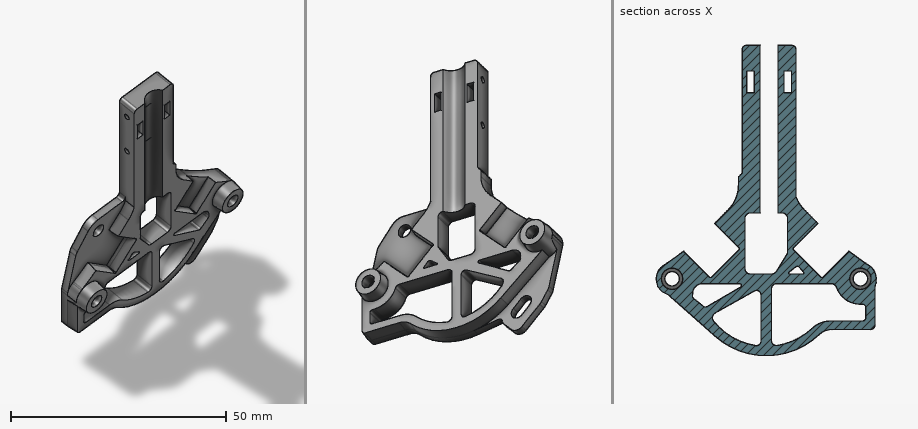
import cadquery as cq
import math


FLANGE_THICKNESS = 2.0
BODY_THICKNESS = 5.0
BOSS_TIP = 8.0
DRAFT = 7.0
DRAFT_SLOPE = math.tan(math.radians(DRAFT))

BOSS_OFFSET = 21.9
BOSS_RADIUS = 3.69
BOSS_CLEARANCE_RADIUS = 5.95
SCREW_HOLE = 3.3
COUNTERBORE = 4.9
COUNTERBORE_DEPTH = BODY_THICKNESS
HALF_WIDTH = BOSS_OFFSET + BOSS_RADIUS

ARM_TOP = 54.3
ARM_WIDTH = 12.55
ARM_CENTER = -0.66
ARM_LEFT = ARM_CENTER + ARM_WIDTH / 2
ARM_RIGHT = ARM_CENTER - ARM_WIDTH / 2
ARM_CORNER_RADIUS = 1.0
TIE_SLOT_WIDTH = 1.7
TIE_SLOT_HEIGHT = 5.0
TIE_SLOT_SPACING = 8.65
TIE_SLOT_Z = 45.8
PIN_HOLE = 1.5
PIN_HOLE_HEIGHTS = (37.5, 50.0)
GROOVE_RADIUS = 3.3
GROOVE_DEPTH = 1.7

SHOULDER_Y = 6.5
SHOULDER_TOP = 24.55
SHOULDER_CHAMFER = 0.9
NECK_RADIUS = 8.0
WING_CURVE_RADIUS = 68.0
NECK_CORNER = (SHOULDER_Y, 18.45, NECK_RADIUS)
WING_CORNER = (17.56, 7.26, WING_CURVE_RADIUS)
BOSS_CORNER = (26.04, 1.71, BOSS_RADIUS)
BOSS_TANGENT = (20.0, 5.64)
SKIRT_CORNER = (22.9, -12.4, 3.0)

RING_OUTER = 18.2
RING_INNER = 15.7
BLOCK_BOTTOM = -12.1
BLOCK_CORNER_RADIUS = 1.3
BLOCK_RING_FILLET = 4.0
BLOCK_OVERLAP = 2.0

FLANGE_TOP = 19.4
FLANGE_HOLE = (-15.57, 15.27)
FLANGE_TOP_CORNER = (-17.7, FLANGE_TOP, 4.0)
FLANGE_SIDE_CORNER = (-22.75, 12.75, 3.0)
FLANGE_BOSS_CORNER = (-HALF_WIDTH, 0.42, BOSS_RADIUS)
EAR_CORNERS = [
    (20.8, -15.86, 3.0),
    (14.31, -22.21, 2.0),
    (10.65, -18.25, 0.4),
    (10.2, -16.75, 0.7),
]
EAR_TANGENT_ANGLE = -80.4
EAR_SLOT_ANGLES = (-40.7, -48.3)

RIB_HALF_WIDTH = 1.25
BAR_BOTTOM = -1.17
BAR_TOP = 1.14
STRIP_BOTTOM = -9.8
STRIP_END = -23.1
WINDOW_TOP = 15.27
WINDOW_HALF_WIDTH = 4.93
WINDOW_RADIUS = 1.2
WINDOW_SLOPE_TOP = (-WINDOW_HALF_WIDTH, 5.93)
WINDOW_SLOPE_END = -2.0
SMALL_WINDOW_CORNERS = [(-4.8, BAR_TOP, 0.2), (-7.3, 3.1, 0.6), (-9.0, BAR_TOP, 0.2)]
LEFT_WINDOW_CORNERS = [
    (4.7, BAR_BOTTOM, 0.4),
    (16.9, BAR_BOTTOM, 2.2),
    (17.15, -4.35, 0.7),
    (14.2, -6.7, 0.7),
]
FAN_SLOPE_START = (RIB_HALF_WIDTH, -2.02)
FAN_SLOPE_END = (RING_OUTER, -11.5)
FAN_RIB_RADIUS = 1.0
FAN_TIP_RADIUS = 1.3
BEND_RADIUS = 6.0
RIB_CORNER_RADIUS = 1.1
STRIP_CORNER_RADIUS = 0.7
SELECTION_MARGIN = 1.0

POCKET_WIDTH = 9.2
POCKET_LENGTH = 14.0
POCKET_ANGLE = 45.0
POCKET_INNER_END = (9.7, 3.7)
POCKET_STRAIGHT_TOP = 2.85
RIGHT_POCKET_FLOOR = FLANGE_THICKNESS
LEFT_POCKET_FLOOR = 2.65


def plane(x=0.0):
    """Sketch plane across the thickness: local axes are Y and Z, normal is +X."""
    return cq.Workplane("YZ", origin=(x, 0, 0))


def disk(y, z, radius, thickness=BODY_THICKNESS):
    return plane().center(y, z).circle(radius).extrude(thickness)


def block(y_min, y_max, z_min, z_max, thickness=BODY_THICKNESS):
    size = (y_max - y_min, z_max - z_min)
    return plane().center((y_min + y_max) / 2, (z_min + z_max) / 2).rect(*size).extrude(thickness)


def rounded_prism(corners, thickness=BODY_THICKNESS):
    """Prism of a polygon given as (y, z, corner radius); a radius of 0 stays sharp."""
    pieces = []
    for i, (y, z, radius) in enumerate(corners):
        corner = cq.Vector(y, z)
        if radius == 0:
            pieces.append((corner,))
            continue
        before = (cq.Vector(*corners[i - 1][:2]) - corner).normalized()
        after = (cq.Vector(*corners[(i + 1) % len(corners)][:2]) - corner).normalized()
        half_angle = before.getAngle(after) / 2
        setback = radius / math.tan(half_angle)
        apex_gap = radius / math.sin(half_angle) - radius
        middle = corner + (before + after).normalized() * apex_gap
        pieces.append((corner + before * setback, middle, corner + after * setback))
    outline = plane().moveTo(pieces[0][-1].x, pieces[0][-1].y)
    for start, *arc in pieces[1:] + pieces[:1]:
        outline = outline.lineTo(start.x, start.y)
        if arc:
            outline = outline.threePointArc(*[(point.x, point.y) for point in arc])
    return outline.close().extrude(thickness)


def on_circle(radius, degrees):
    angle = math.radians(degrees)
    return (radius * math.cos(angle), radius * math.sin(angle))


def make_arm():
    return rounded_prism([
        (ARM_LEFT, 0, 0),
        (ARM_LEFT, ARM_TOP, ARM_CORNER_RADIUS),
        (ARM_RIGHT, ARM_TOP, ARM_CORNER_RADIUS),
        (ARM_RIGHT, 0, 0),
    ])


def make_wing():
    """Left wing, from the shoulder beside the arm down round the boss to mid-height."""
    wing = rounded_prism([
        (0, SKIRT_CORNER[1], 0),
        (0, SHOULDER_TOP, 0),
        (ARM_LEFT, SHOULDER_TOP, 0),
        (SHOULDER_Y, SHOULDER_TOP - SHOULDER_CHAMFER, 0),
        NECK_CORNER,
        WING_CORNER,
        BOSS_CORNER,
        SKIRT_CORNER[:2] + (0,),
    ])
    return wing.intersect(block(0, HALF_WIDTH, 0, SHOULDER_TOP))


def make_flange():
    """Thin web filling the corner between the arm and the right boss."""
    return rounded_prism([
        (0, 0, 0),
        (0, FLANGE_TOP + 2 * ARM_CORNER_RADIUS, 0),
        (ARM_RIGHT, FLANGE_TOP + 2 * ARM_CORNER_RADIUS, 0),
        (ARM_RIGHT, FLANGE_TOP, ARM_CORNER_RADIUS),
        FLANGE_TOP_CORNER,
        FLANGE_SIDE_CORNER,
        FLANGE_BOSS_CORNER,
        (-HALF_WIDTH, -BLOCK_OVERLAP, 0),
        (0, -BLOCK_OVERLAP, 0),
    ], FLANGE_THICKNESS)


def make_ear(thickness=FLANGE_THICKNESS):
    """Thin skirt below the left boss, ending in the ear that holds the curved slot."""
    return rounded_prism([
        (0, 0, 0),
        BOSS_TANGENT + (0,),
        BOSS_CORNER,
        SKIRT_CORNER,
        *EAR_CORNERS,
        on_circle(RING_OUTER, EAR_TANGENT_ANGLE) + (0,),
    ], thickness)


def make_lower(start, end, taper):
    """Ring segment and right-hand block below the bosses, between two X positions."""
    tangent_angle = -math.degrees(math.acos((RING_OUTER - BOSS_RADIUS) / BOSS_OFFSET))
    tangent_y, tangent_z = on_circle(BOSS_RADIUS, tangent_angle)
    boss_tangent = (BOSS_OFFSET + tangent_y, tangent_z)

    fillet_z = BLOCK_BOTTOM - BLOCK_RING_FILLET
    fillet_y = -math.sqrt((RING_OUTER + BLOCK_RING_FILLET) ** 2 - fillet_z ** 2)
    ring_end_angle = math.degrees(math.atan2(fillet_z, fillet_y))
    fillet_angle = (90 + ring_end_angle + 180) / 2
    arc_y, arc_z = on_circle(BLOCK_RING_FILLET, fillet_angle)

    corner_y = -HALF_WIDTH + BLOCK_CORNER_RADIUS
    corner_z = BLOCK_BOTTOM + BLOCK_CORNER_RADIUS
    round_y, round_z = on_circle(BLOCK_CORNER_RADIUS, -135)
    outline = (
        plane(start)
        .moveTo(*boss_tangent)
        .lineTo(*on_circle(RING_OUTER, tangent_angle))
        .threePointArc((0, -RING_OUTER), on_circle(RING_OUTER, ring_end_angle))
        .threePointArc((fillet_y + arc_y, fillet_z + arc_z), (fillet_y, BLOCK_BOTTOM))
        .lineTo(corner_y, BLOCK_BOTTOM)
        .threePointArc((corner_y + round_y, corner_z + round_z), (-HALF_WIDTH, corner_z))
        .lineTo(-HALF_WIDTH, BLOCK_OVERLAP)
        .lineTo(boss_tangent[0], BLOCK_OVERLAP)
        .close()
    )
    lower_half = block(-HALF_WIDTH, HALF_WIDTH, -RING_OUTER, 0)
    return outline.extrude(end - start, taper=taper).intersect(lower_half)


def make_boss_cone(y, start, end):
    """Drafted boss, measured to have the boss radius where it leaves the body."""
    start_radius = BOSS_RADIUS + (BODY_THICKNESS - start) * DRAFT_SLOPE
    return plane(start).center(y, 0).circle(start_radius).extrude(end - start, taper=DRAFT)


def make_boss_foot(side):
    """Lower half of a boss inside the body, trimmed to the side of the bracket."""
    reach = 2 * BOSS_RADIUS
    if side > 0:
        trim = make_ear(BODY_THICKNESS)
    else:
        trim = block(-HALF_WIDTH, -HALF_WIDTH + reach, -reach, 0)
    return make_boss_cone(side * BOSS_OFFSET, FLANGE_THICKNESS, BODY_THICKNESS).intersect(trim)


def make_pocket(floor):
    """Rectangular pocket in the left wing, open at 45 degrees and drafted near the +X face."""
    step_y, step_z = on_circle(POCKET_LENGTH / 2, POCKET_ANGLE)
    center_y = POCKET_INNER_END[0] + step_y
    center_z = POCKET_INNER_END[1] + step_z

    def sketch(x):
        turned = plane(x).center(center_y, center_z).transformed(rotate=(0, 0, POCKET_ANGLE))
        return turned.rect(POCKET_LENGTH, POCKET_WIDTH)

    straight = sketch(floor).extrude(POCKET_STRAIGHT_TOP - floor)
    flared = sketch(POCKET_STRAIGHT_TOP).extrude(BODY_THICKNESS - POCKET_STRAIGHT_TOP, taper=-DRAFT)
    return straight.union(flared)


def make_center_window():
    return rounded_prism([
        (WINDOW_HALF_WIDTH, WINDOW_TOP, WINDOW_RADIUS),
        (-WINDOW_HALF_WIDTH, WINDOW_TOP, WINDOW_RADIUS),
        WINDOW_SLOPE_TOP + (0,),
        (WINDOW_SLOPE_END, BAR_TOP, WINDOW_RADIUS),
        (WINDOW_HALF_WIDTH, BAR_TOP, WINDOW_RADIUS),
    ])


def round_edges(solid, y_range, z_range, radius):
    """Round the edges along X that lie inside the given Y and Z ranges."""
    low = (0, y_range[0] - SELECTION_MARGIN, z_range[0] - SELECTION_MARGIN)
    high = (BODY_THICKNESS, y_range[1] + SELECTION_MARGIN, z_range[1] + SELECTION_MARGIN)
    return solid.edges("|X").edges(cq.selectors.BoxSelector(low, high)).fillet(radius)


def make_fan_window():
    wedge = rounded_prism([
        FAN_SLOPE_START + (0,),
        (RIB_HALF_WIDTH, -RING_OUTER, 0),
        (RING_OUTER, -RING_OUTER, 0),
        FAN_SLOPE_END + (0,),
    ])
    window = wedge.intersect(disk(0, 0, RING_INNER))
    rib_side = (RIB_HALF_WIDTH, RIB_HALF_WIDTH)
    window = round_edges(window, rib_side, (-RING_INNER, 0), FAN_RIB_RADIUS)
    return window.edges("|X and >Y").fillet(FAN_TIP_RADIUS)


def make_right_window():
    strip = block(STRIP_END, -RIB_HALF_WIDTH, STRIP_BOTTOM, BAR_BOTTOM)
    sector = disk(0, 0, RING_INNER).intersect(block(-RING_INNER, -RIB_HALF_WIDTH, -RING_INNER, BAR_BOTTOM))
    window = sector.union(strip)
    window = window.cut(disk(-BOSS_OFFSET, 0, BOSS_CLEARANCE_RADIUS))
    window = window.cut(block(STRIP_END, -BOSS_OFFSET, -BOSS_CLEARANCE_RADIUS, 0))
    bend_y = -math.sqrt(RING_INNER ** 2 - STRIP_BOTTOM ** 2)
    window = round_edges(window, (bend_y, bend_y), (STRIP_BOTTOM, STRIP_BOTTOM), BEND_RADIUS)
    rib_side = (-RIB_HALF_WIDTH, -RIB_HALF_WIDTH)
    window = round_edges(window, rib_side, (-RING_INNER, BAR_BOTTOM), RIB_CORNER_RADIUS)
    arc_start = -BOSS_OFFSET + math.sqrt(BOSS_CLEARANCE_RADIUS ** 2 - BAR_BOTTOM ** 2)
    window = round_edges(window, (arc_start, arc_start), (BAR_BOTTOM, BAR_BOTTOM), RIB_CORNER_RADIUS)
    strip_ends = (STRIP_BOTTOM, -BOSS_CLEARANCE_RADIUS)
    return round_edges(window, (STRIP_END, STRIP_END), strip_ends, STRIP_CORNER_RADIUS)


def make_ear_slot():
    first, last = EAR_SLOT_ANGLES
    half = SCREW_HOLE / 2
    inner = BOSS_OFFSET - half
    outer = BOSS_OFFSET + half
    middle = (first + last) / 2
    slot = (
        plane()
        .moveTo(*on_circle(inner, first))
        .threePointArc(on_circle(inner, middle), on_circle(inner, last))
        .lineTo(*on_circle(outer, last))
        .threePointArc(on_circle(outer, middle), on_circle(outer, first))
        .close()
        .extrude(BODY_THICKNESS)
    )
    for angle in EAR_SLOT_ANGLES:
        slot = slot.union(disk(*on_circle(BOSS_OFFSET, angle), half))
    return slot


def cut_arm_features(part):
    for side in (1, -1):
        y = ARM_CENTER + side * TIE_SLOT_SPACING / 2
        slot = plane().center(y, TIE_SLOT_Z).rect(TIE_SLOT_WIDTH, TIE_SLOT_HEIGHT)
        part = part.cut(slot.extrude(BODY_THICKNESS))
    for z in PIN_HOLE_HEIGHTS:
        pin = cq.Workplane("XZ").center(BODY_THICKNESS / 2, z).circle(PIN_HOLE / 2)
        part = part.cut(pin.extrude(HALF_WIDTH, both=True))
    groove_x = BODY_THICKNESS - GROOVE_DEPTH + GROOVE_RADIUS
    groove = (
        cq.Workplane("XY", origin=(groove_x, ARM_CENTER, WINDOW_TOP))
        .circle(GROOVE_RADIUS)
        .extrude(ARM_TOP - WINDOW_TOP)
    )
    return part.cut(groove)


def make_part():
    left_wing = make_wing()
    part = make_arm().union(left_wing).union(left_wing.mirror("XZ"))
    part = part.cut(make_pocket(LEFT_POCKET_FLOOR))
    part = part.cut(make_pocket(RIGHT_POCKET_FLOOR).mirror("XZ"))
    part = part.union(make_flange()).union(make_ear())
    part = part.union(make_lower(0, FLANGE_THICKNESS, 0))
    part = part.union(make_lower(FLANGE_THICKNESS, BODY_THICKNESS, DRAFT))
    for side in (1, -1):
        part = part.union(make_boss_foot(side))
        part = part.union(make_boss_cone(side * BOSS_OFFSET, BODY_THICKNESS, BOSS_TIP))
    openings = [make_center_window(), make_fan_window(), make_right_window(), make_ear_slot(),
                rounded_prism(SMALL_WINDOW_CORNERS), rounded_prism(LEFT_WINDOW_CORNERS),
                disk(*FLANGE_HOLE, SCREW_HOLE / 2)]
    for side in (1, -1):
        openings.append(disk(side * BOSS_OFFSET, 0, SCREW_HOLE / 2, BOSS_TIP))
        openings.append(disk(side * BOSS_OFFSET, 0, COUNTERBORE / 2, COUNTERBORE_DEPTH))
    for opening in openings:
        part = part.cut(opening)
    return cut_arm_features(part)


result = make_part()